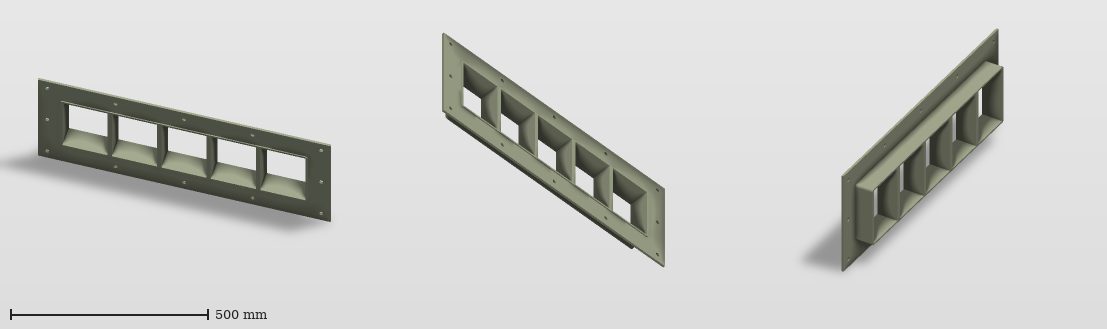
import cadquery as cq

plate_length = 774.5
plate_height = 291.0
plate_thickness = 6.0

frame_length = 655.0
frame_height = 170.5
frame_depth = 60.0
frame_corner_radius = 7.0
frame_front_lip = 3.0

opening_count = 5
opening_width = 119.0
opening_height = 160.0
divider_width = 12.0
opening_pitch = opening_width + divider_width

hole_diameter = 11.0
hole_columns = 5
hole_rows = 3
hole_pitch_x = 181.0
hole_pitch_z = 121.0


def block(length, depth, height, front_y):
    """Box centred on X and Z, reaching from front_y toward +Y."""
    return cq.Workplane("XY").box(length, depth, height).translate((0, front_y + depth / 2, 0))


def mounting_hole_positions():
    """Grid positions on the plate border; the interior belongs to the frame."""
    positions = []
    for column in range(hole_columns):
        for row in range(hole_rows):
            on_side = column in (0, hole_columns - 1)
            on_top_or_bottom = row in (0, hole_rows - 1)
            if on_side or on_top_or_bottom:
                x = (column - (hole_columns - 1) / 2) * hole_pitch_x
                z = (row - (hole_rows - 1) / 2) * hole_pitch_z
                positions.append((x, z))
    return positions


plate = block(plate_length, plate_thickness, plate_height, frame_front_lip)
frame = block(frame_length, frame_depth, frame_height, 0).edges("|Y").fillet(frame_corner_radius)

openings = (
    cq.Workplane("XZ")
    .rarray(opening_pitch, 8, opening_count, 1)
    .rect(opening_width, opening_height)
    .extrude(-frame_depth)
)
mounting_holes = (
    cq.Workplane("XZ")
    .pushPoints(mounting_hole_positions())
    .circle(hole_diameter / 2)
    .extrude(-frame_depth)
)

result = plate.union(frame).cut(openings).cut(mounting_holes)